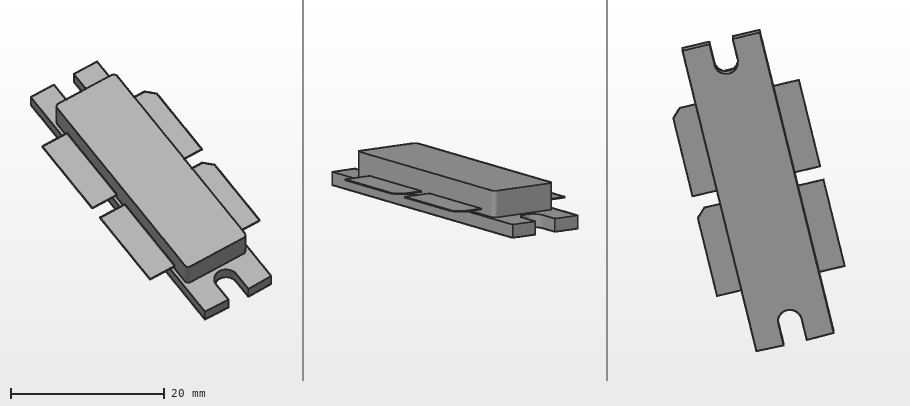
import cadquery as cq

flange_half_length = 20.6
flange_width = 10.35
flange_height = 1.78
end_taper = 0.1
slot_width = 3.1
slot_depth = 4.38

body_length = 31.25
body_width = 9.35
body_height = 3.55
body_corner_radius = 0.55

lead_span = 17.15
lead_width = 11.85
lead_gap = 1.8
lead_thickness = 0.12
lead_rise = 0.6
lead_chamfer = 1.15

lead_length = (lead_span - body_width) / 2
lead_offset_x = (lead_width + lead_gap) / 2
lead_offset_y = (body_width + lead_length) / 2


def make_flange():
    """Flat plate with an open round-ended slot at each end and a slightly tapered right end."""
    half_width = flange_width / 2
    slot_radius = slot_width / 2
    slot_bottom = flange_half_length - slot_depth
    arc_start = slot_bottom + slot_radius
    right_tip = flange_half_length + end_taper
    return (
        cq.Workplane("XY")
        .moveTo(-flange_half_length, -half_width)
        .lineTo(flange_half_length, -half_width)
        .lineTo(right_tip, -slot_radius)
        .lineTo(arc_start, -slot_radius)
        .threePointArc((slot_bottom, 0), (arc_start, slot_radius))
        .lineTo(right_tip, slot_radius)
        .lineTo(flange_half_length, half_width)
        .lineTo(-flange_half_length, half_width)
        .lineTo(-flange_half_length, slot_radius)
        .lineTo(-arc_start, slot_radius)
        .threePointArc((-slot_bottom, 0), (-arc_start, -slot_radius))
        .lineTo(-flange_half_length, -slot_radius)
        .close()
        .extrude(flange_height)
    )


def make_body():
    """Rectangular package with rounded vertical corners, resting on the flange."""
    return (
        cq.Workplane("XY", origin=(0, 0, flange_height))
        .rect(body_length, body_width)
        .extrude(body_height)
        .edges("|Z")
        .fillet(body_corner_radius)
    )


def make_lead(side_x, side_y):
    """Thin lead butted against a long side; leads on the +Y side have one cut corner."""
    origin = (side_x * lead_offset_x, side_y * lead_offset_y, flange_height + lead_rise)
    lead = cq.Workplane("XY", origin=origin).rect(lead_width, lead_length).extrude(lead_thickness)
    if side_y > 0:
        lead = lead.edges("|Z").edges("<X").edges(">Y").chamfer(lead_chamfer)
    return lead


flange = make_flange()
body = make_body()
leads = [make_lead(side_x, side_y) for side_x in (-1, 1) for side_y in (-1, 1)]

result = cq.Compound.makeCompound([flange.val(), body.val(), *[lead.val() for lead in leads]])